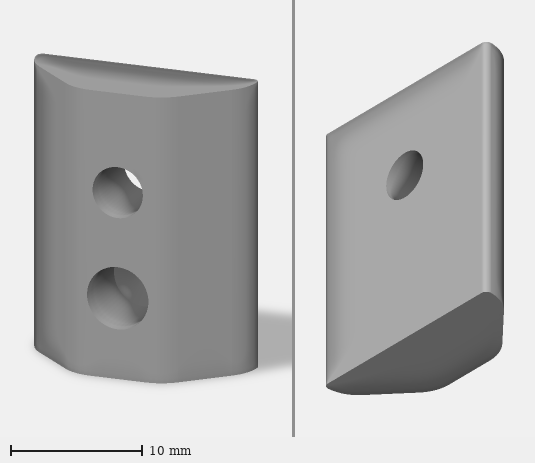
import cadquery as cq
import math

width = 18.0
thickness = 6.8
length = 23.0

front_flat_width = 4.5
flank_angle = 42.0
outline_radius = 3.5
back_corner_radius = 0.5

through_hole_diameter = 4.1
through_hole_height = 15.0

pocket_diameter = 5.0
pocket_height = 6.5
pocket_depth = 5.8
drill_point_angle = 150.0


def arc_point(center, radius, direction):
    """Point on a circle, with the direction in degrees counter-clockwise from +X."""
    angle = math.radians(direction)
    return (center[0] + radius * math.cos(angle), center[1] + radius * math.sin(angle))


def mirrored(point):
    return (-point[0], point[1])


def make_body():
    """Extrude the symmetric cross-section, in which every neighbouring pair of stretches is tangent."""
    flank_normal = flank_angle - 90

    front_center = (front_flat_width / 2, outline_radius - thickness)
    front_start = arc_point(front_center, outline_radius, -90)
    front_middle = arc_point(front_center, outline_radius, (flank_normal - 90) / 2)
    front_end = arc_point(front_center, outline_radius, flank_normal)

    corner_center = (width / 2 - back_corner_radius, -back_corner_radius)
    center_distance = outline_radius - back_corner_radius
    normal_x, normal_y = arc_point((0, 0), 1, flank_normal)
    corner_offset = (
        (corner_center[0] - front_center[0]) * normal_x
        + (corner_center[1] - front_center[1]) * normal_y
    )
    corner_direction = flank_normal + math.degrees(math.acos(corner_offset / center_distance))
    side_center = arc_point(corner_center, -center_distance, corner_direction)
    side_start = arc_point(side_center, outline_radius, flank_normal)
    side_middle = arc_point(side_center, outline_radius, (flank_normal + corner_direction) / 2)
    side_end = arc_point(side_center, outline_radius, corner_direction)

    corner_middle = arc_point(corner_center, back_corner_radius, (corner_direction + 90) / 2)
    corner_end = arc_point(corner_center, back_corner_radius, 90)

    return (
        cq.Workplane("XY")
        .moveTo(*mirrored(front_start))
        .lineTo(*front_start)
        .threePointArc(front_middle, front_end)
        .lineTo(*side_start)
        .threePointArc(side_middle, side_end)
        .threePointArc(corner_middle, corner_end)
        .lineTo(*mirrored(corner_end))
        .threePointArc(mirrored(corner_middle), mirrored(side_end))
        .threePointArc(mirrored(side_middle), mirrored(side_start))
        .lineTo(*mirrored(front_end))
        .threePointArc(mirrored(front_middle), mirrored(front_start))
        .close()
        .extrude(length)
    )


def make_through_hole():
    """Cylinder running through the whole thickness along Y."""
    return (
        cq.Workplane("XZ")
        .center(0, through_hole_height)
        .circle(through_hole_diameter / 2)
        .extrude(thickness)
    )


def make_pocket():
    """Drilled blind pocket entering from the front flat, revolved about its Y axis."""
    radius = pocket_diameter / 2
    wall_end = pocket_depth - thickness
    tip = wall_end + radius / math.tan(math.radians(drill_point_angle / 2))
    return (
        cq.Workplane("XY", origin=(0, 0, pocket_height))
        .moveTo(0, -thickness)
        .lineTo(radius, -thickness)
        .lineTo(radius, wall_end)
        .lineTo(0, tip)
        .close()
        .revolve(360, (0, 0, 0), (0, 1, 0))
    )


result = make_body().cut(make_through_hole()).cut(make_pocket())